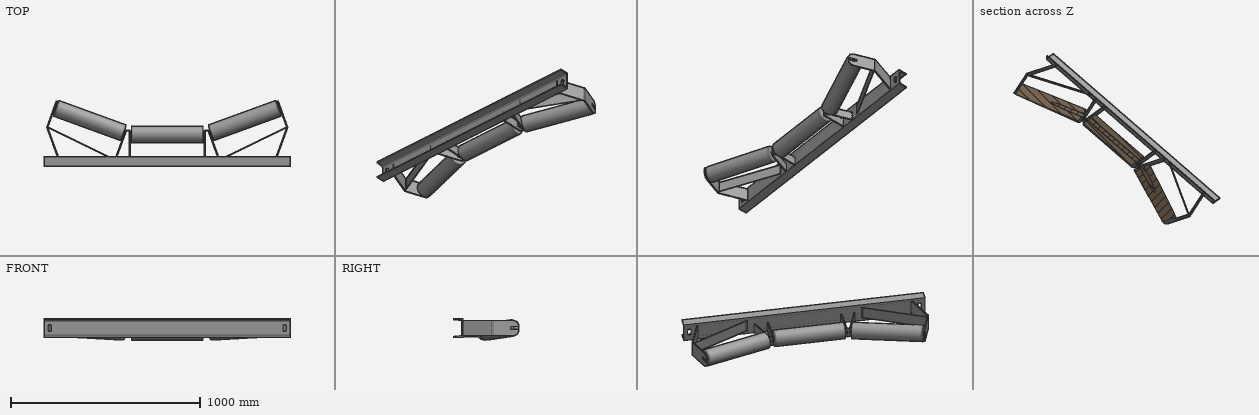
import cadquery as cq
import math


CHANNEL_LENGTH = 1300.0
CHANNEL_HEIGHT = 100.0
FLANGE_DEPTH = 51.0
WEB_THICKNESS = 6.0
FLANGE_ROOT = 10.0
FLANGE_TIP = 6.0
ROOT_FILLET = 6.0
TIP_FILLET = 4.0

MOUNT_SLOT_LENGTH = 38.0
MOUNT_SLOT_WIDTH = 18.0
MOUNT_SLOT_INSET = 30.0

ROLLER_DIAMETER = 89.0
ROLLER_LENGTH = 380.0
ROLLER_EDGE_FILLET = 4.0
SHAFT_DIAMETER = 20.0
SHAFT_FLATS = 14.0
ROLLER_GAP = 5.0
TROUGH_ANGLE = 20.0
TILT_ANGLE = 3.0
CENTRE_ROLLER_Y = 117.0
WING_ROLLER_X = 410.0
WING_ROLLER_Y = 191.0

PLATE_THICKNESS = 6.0
OUTER_PLATE_HEIGHT = 80.0
OUTER_TIP_REACH = 38.0
OUTER_CORNER_RADIUS = 30.0
OUTER_BEND_RADIUS = 6.0
APEX_Y = 155.0
INNER_PLATE_HEIGHT = 52.0
INNER_PLATE_TOP_Y = 142.0
INNER_BEND_RADIUS = 9.0
SLOT_REACH = 52.0
BRACE_THICKNESS = 4.0
BRACE_HEIGHT = 64.0
BRACE_FOOT_X = 307.0

trough_sin = math.sin(math.radians(TROUGH_ANGLE))
trough_cos = math.cos(math.radians(TROUGH_ANGLE))
trough_tan = trough_sin / trough_cos
tilt_sin = math.sin(math.radians(TILT_ANGLE))
tilt_cos = math.cos(math.radians(TILT_ANGLE))

centre_roller_z = -ROLLER_LENGTH * tilt_sin
wing_roller_z = centre_roller_z / 2

plate_near = ROLLER_LENGTH / 2 + ROLLER_GAP
plate_far = plate_near + PLATE_THICKNESS


def roller_planes():
    """Planes at the roller middles: local X is the roller axis, local Y points out of the slots."""
    planes = [cq.Plane((0, CENTRE_ROLLER_Y, centre_roller_z), xDir=(1, 0, 0), normal=(0, 0, 1))]
    for side in (-1, 1):
        axis = cq.Vector(trough_cos * tilt_cos, side * trough_sin * tilt_cos, side * tilt_sin)
        slot_direction = cq.Vector(-side * trough_sin, trough_cos, 0)
        middle = (side * WING_ROLLER_X, WING_ROLLER_Y, wing_roller_z)
        planes.append(cq.Plane(middle, xDir=axis, normal=axis.cross(slot_direction)))
    return planes


def along_axis(plane, diameter, length):
    """Cylinder along a plane's local X, centred on its origin."""
    cylinder = cq.Workplane("YZ", origin=(-length / 2, 0, 0)).circle(diameter / 2).extrude(length)
    return cq.Workplane(cylinder.val().moved(cq.Location(plane)))


def make_shaft(plane):
    """Round shaft with two flats at each end, flush with the outer faces of the plates."""
    flats = cq.Workplane(plane).box(2 * plate_far, SHAFT_DIAMETER, SHAFT_FLATS)
    round_part = along_axis(plane, SHAFT_DIAMETER, ROLLER_LENGTH)
    return along_axis(plane, SHAFT_DIAMETER, 2 * plate_far).intersect(flats.union(round_part))


def make_roller(plane):
    """Roller with rounded end edges, bored to fit its shaft."""
    roller = along_axis(plane, ROLLER_DIAMETER, ROLLER_LENGTH).edges().fillet(ROLLER_EDGE_FILLET)
    return roller.cut(along_axis(plane, SHAFT_DIAMETER, ROLLER_LENGTH))


def make_channel():
    """Channel with tapered flanges pointing to -Y and an upright slot near each end."""
    half = CHANNEL_HEIGHT / 2
    section = [
        (0, half),
        (-FLANGE_DEPTH, half),
        (-FLANGE_DEPTH, half - FLANGE_TIP),
        (-WEB_THICKNESS, half - FLANGE_ROOT),
        (-WEB_THICKNESS, FLANGE_ROOT - half),
        (-FLANGE_DEPTH, FLANGE_TIP - half),
        (-FLANGE_DEPTH, -half),
        (0, -half),
    ]
    channel = cq.Workplane("YZ").polyline(section).close().extrude(CHANNEL_LENGTH / 2, both=True)
    root_box = cq.selectors.BoxSelector(
        (-13, -WEB_THICKNESS - 1.0, -half + 1.0), (13, -WEB_THICKNESS + 1.0, half - 1.0)
    )
    channel = channel.edges(root_box).fillet(ROOT_FILLET)
    tip_box = cq.selectors.BoxSelector(
        (-13, -FLANGE_DEPTH - 1.0, -half + 1.0), (13, -FLANGE_DEPTH + 1.0, half - 1.0)
    )
    channel = channel.edges(tip_box).fillet(TIP_FILLET)
    slot_x = CHANNEL_LENGTH / 2 - MOUNT_SLOT_INSET
    slots = (
        cq.Workplane("XZ")
        .pushPoints([(-slot_x, 0), (slot_x, 0)])
        .slot2D(MOUNT_SLOT_LENGTH, MOUNT_SLOT_WIDTH, 90)
        .extrude(WEB_THICKNESS)
    )
    return channel.cut(slots)


def upright(points, height, middle_z=0.0):
    """Prism standing on a plan outline, centred on a height."""
    outline = cq.Workplane("XY", origin=(0, 0, middle_z)).polyline(points).close()
    return outline.extrude(height / 2, both=True)


def wing_point(along, up):
    """Plan position beside the left wing roller, along its axis and towards the slot opening."""
    return (
        -WING_ROLLER_X + along * trough_cos + up * trough_sin,
        WING_ROLLER_Y - along * trough_sin + up * trough_cos,
    )


tip = wing_point(-plate_far, OUTER_TIP_REACH)
apex_x = tip[0] - (tip[1] - APEX_Y) * trough_tan
plate_width_x = PLATE_THICKNESS / trough_cos


def make_outer_plate():
    """Left outer plate: leans out from the web, bends at the apex and leans in past the roller."""
    foot_x = apex_x + APEX_Y * trough_tan
    outline = [
        (foot_x, 0),
        (apex_x, APEX_Y),
        tip,
        wing_point(-plate_near, OUTER_TIP_REACH),
        (apex_x + plate_width_x, APEX_Y),
        (foot_x + plate_width_x, 0),
    ]
    plate = upright(outline, OUTER_PLATE_HEIGHT)
    plate = plate.edges("<<X[1]").fillet(OUTER_BEND_RADIUS)
    plate = plate.edges("<X").fillet(OUTER_BEND_RADIUS + PLATE_THICKNESS)
    return plate.faces(">Y").edges("not |Z").fillet(OUTER_CORNER_RADIUS)


def make_inner_plate():
    """Left inner plate: an upright leg and a leaning leg joined by a short rounded bridge."""
    lean = wing_point(plate_near, 0)
    lean_foot_x = lean[0] - lean[1] * trough_tan
    outline = [
        (lean_foot_x, 0),
        (lean_foot_x + INNER_PLATE_TOP_Y * trough_tan, INNER_PLATE_TOP_Y),
        (-plate_near, INNER_PLATE_TOP_Y),
        (-plate_near, 0),
    ]
    solid = upright(outline, INNER_PLATE_HEIGHT, centre_roller_z)
    solid = solid.edges("|Z and >Y").fillet(INNER_BEND_RADIUS)
    return solid.faces("<Y or |Z").shell(-PLATE_THICKNESS)


def make_brace():
    """Left brace from the inside of the apex down to the web."""
    start_x = apex_x + plate_width_x / 2
    slope = math.atan2(APEX_Y, -BRACE_FOOT_X - start_x)
    width_x = BRACE_THICKNESS / math.sin(slope)
    return upright(
        [(start_x, APEX_Y), (start_x + width_x, APEX_Y), (-BRACE_FOOT_X, 0), (-BRACE_FOOT_X - width_x, 0)],
        BRACE_HEIGHT,
    )


def make_frame(planes, shafts):
    """Channel and plates welded into one piece, with an open slot for each shaft end."""
    left_side = make_outer_plate().union(make_inner_plate()).union(make_brace())
    frame = make_channel().union(left_side).union(left_side.mirror("YZ"))
    for plane, shaft in zip(planes, shafts):
        slot = cq.Workplane(plane).center(0, SLOT_REACH / 2).box(2 * plate_far, SLOT_REACH, SHAFT_FLATS)
        frame = frame.cut(slot).cut(shaft)
    return frame


planes = roller_planes()
shafts = [make_shaft(plane) for plane in planes]
rollers = [make_roller(plane) for plane in planes]
frame = make_frame(planes, shafts)

result = cq.Compound.makeCompound(
    [
        frame.val(),
        *[roller.val() for roller in rollers],
        *[shaft.val() for shaft in shafts],
    ]
)